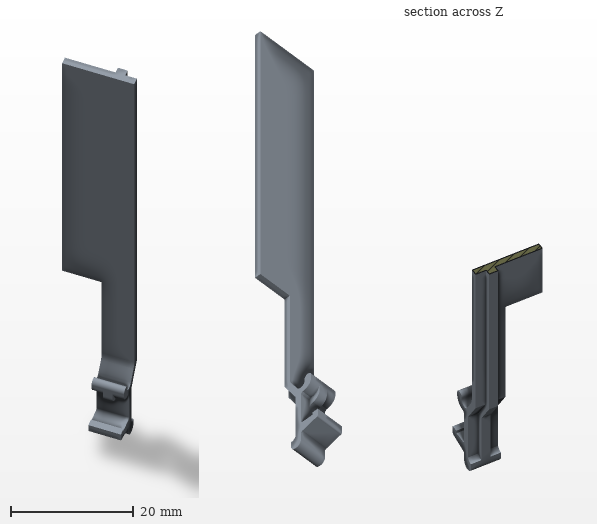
import cadquery as cq
import math

height = 94.1
total_width = 12.5
total_depth = 8.7

strip_width = 5.6
strip_thickness = 1.2
rib_width = 1.7
rib_depth = 1.0
stack_depth = rib_depth + strip_thickness

joggle_offset = 2.5
joggle_angle = 31.0
joggle_top = 16.0
joggle_radius = 2.4

wing_width = total_width - strip_width
wing_bottom = 36.9

bulb_radius = stack_depth / 2
bulb_back_top = 2.2
bulb_shoulder_top = 2.8
bulb_shoulder_radius = 1.0
lower_front = joggle_offset + stack_depth

hook_front = 7.15
hook_thickness = 1.5
hook_top = 15.5
hook_tip_radius = hook_thickness / 2
hook_inner_radius = 0.9
hook_outer_radius = 1.9
hook_root_bottom = 11.85
hook_root_depth = 3.8
hook_root_top = 13.8
hook_root_rise = 0.4

web_top = 13.2
web_bottom = 10.0
web_root_radius = 0.8

ledge_top = 5.1
ledge_root_bottom = 3.0
ledge_tip_bottom = 3.9
ledge_root_radius = 0.4
lip_thickness = 1.2
lip_top = 5.6
lip_radius = 0.3


def extrude_centred(sketch, width):
    """Extrude a YZ outline symmetrically about the strip's middle plane."""
    return sketch.close().extrude(width / 2, both=True)


def side_plane():
    """YZ plane turned so that depth towards the front is the first coordinate."""
    return cq.Workplane(cq.Plane(origin=(0, 0, 0), xDir=(0, -1, 0), normal=(-1, 0, 0)))


def joggled_line(depth, bottom):
    """Points, top to bottom, of the joggled path at a depth from the rib's back."""
    shift = depth * math.tan(math.radians(joggle_angle / 2))
    drop = joggle_offset / math.tan(math.radians(joggle_angle))
    bend_height = joggle_top + shift
    lower_depth = depth + joggle_offset
    return [
        (depth, height),
        (depth, bend_height),
        (lower_depth, bend_height - drop),
        (lower_depth, bottom),
    ]


def joggled_layer(back, front, bottom, width):
    outline = joggled_line(back, bottom) + joggled_line(front, bottom)[::-1]
    return extrude_centred(side_plane().polyline(outline), width)


def make_strip():
    strip = joggled_layer(rib_depth, stack_depth, bulb_radius, strip_width)
    bend_depth, bend_height = joggled_line(stack_depth, bulb_radius)[1]
    front_bend = cq.selectors.NearestToPointSelector((0, -bend_depth, bend_height))
    return strip.edges("|X").edges(front_bend).fillet(joggle_radius)


def make_rib():
    return joggled_layer(0, rib_depth, bulb_radius, rib_width)


def make_wing():
    corner = (-strip_width / 2 - wing_width, -stack_depth, wing_bottom)
    wing_height = height - wing_bottom
    wing = cq.Workplane("XY").box(wing_width, strip_thickness, wing_height, centered=False)
    return wing.translate(corner)


def make_bulb():
    back = joggle_offset
    strip_back = back + rib_depth
    sketch = (
        side_plane()
        .moveTo(back, bulb_radius)
        .radiusArc((lower_front, bulb_radius), -bulb_radius)
        .lineTo(lower_front, bulb_shoulder_top)
        .lineTo(strip_back, bulb_shoulder_top)
        .radiusArc((back, bulb_back_top), bulb_shoulder_radius)
    )
    return extrude_centred(sketch, strip_width)


def make_upper_hook():
    inner_front = hook_front - hook_thickness
    tip_base = hook_top - hook_tip_radius
    slope = math.radians(joggle_angle)
    bend_depth, bend_height = joggled_line(stack_depth, bulb_radius)[1]
    centre_depth = inner_front - hook_inner_radius
    slope_run = centre_depth - bend_depth - hook_inner_radius / math.cos(slope)
    centre_height = bend_height - slope_run / math.tan(slope)
    slope_tangent = (
        centre_depth - hook_inner_radius * math.cos(slope),
        centre_height - hook_inner_radius * math.sin(slope),
    )
    outer_bottom = hook_root_bottom + hook_root_rise
    sketch = (
        side_plane()
        .moveTo(hook_root_depth, hook_root_bottom)
        .lineTo(lower_front, hook_root_bottom)
        .lineTo(lower_front + hook_root_rise, outer_bottom)
        .lineTo(hook_front - hook_outer_radius, outer_bottom)
        .radiusArc((hook_front, outer_bottom + hook_outer_radius), -hook_outer_radius)
        .lineTo(hook_front, tip_base)
        .threePointArc((hook_front - hook_tip_radius, hook_top), (inner_front, tip_base))
        .lineTo(inner_front, centre_height)
        .threePointArc((centre_depth, centre_height - hook_inner_radius), slope_tangent)
        .lineTo(hook_root_depth, hook_root_top)
    )
    return extrude_centred(sketch, strip_width)


def make_web():
    root_front = lower_front + web_root_radius
    root_top = web_bottom + web_root_radius
    web_back = lower_front - strip_thickness / 2
    sketch = (
        side_plane()
        .moveTo(web_back, web_bottom)
        .lineTo(lower_front, web_bottom)
        .radiusArc((root_front, root_top), web_root_radius)
        .radiusArc((hook_front, root_top + hook_outer_radius), -hook_outer_radius)
        .lineTo(hook_front, hook_top - hook_tip_radius)
        .lineTo(hook_front - hook_tip_radius, web_top)
        .lineTo(web_back, web_top)
    )
    return extrude_centred(sketch, rib_width)


def make_lower_hook():
    back = lower_front - strip_thickness / 2
    lip_back = total_depth - lip_thickness
    sketch = (
        side_plane()
        .moveTo(back, ledge_top + ledge_root_radius)
        .lineTo(lower_front, ledge_top + ledge_root_radius)
        .radiusArc((lower_front + ledge_root_radius, ledge_top), -ledge_root_radius)
        .lineTo(lip_back, ledge_top)
        .lineTo(lip_back, lip_top)
        .lineTo(total_depth, lip_top)
        .lineTo(total_depth, ledge_tip_bottom + lip_radius)
        .radiusArc((total_depth - lip_radius, ledge_tip_bottom), lip_radius)
        .lineTo(lower_front + ledge_root_radius, ledge_root_bottom)
        .radiusArc((lower_front, ledge_root_bottom - ledge_root_radius), -ledge_root_radius)
        .lineTo(back, ledge_root_bottom - ledge_root_radius)
    )
    return extrude_centred(sketch, strip_width)


result = make_strip()
for feature in (
    make_rib(),
    make_wing(),
    make_bulb(),
    make_upper_hook(),
    make_web(),
    make_lower_hook(),
):
    result = result.union(feature)